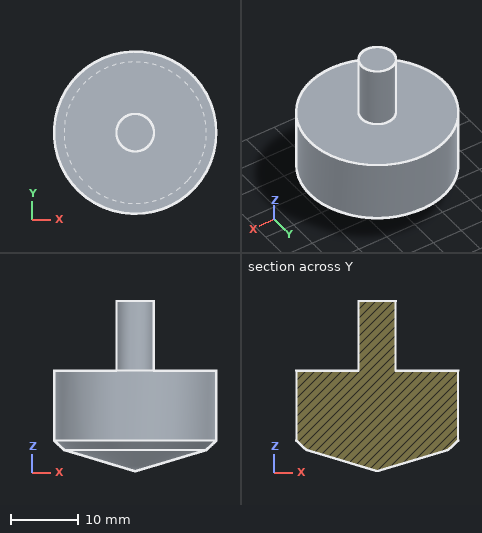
import cadquery as cq

overall_height = 25.4
body_diameter = 24.2
stem_diameter = 5.6
stem_length = 10.4
chamfer_height = 1.42
chamfer_width = 1.52
tip_height = 3.17

body_radius = body_diameter / 2
stem_radius = stem_diameter / 2
tip_radius = body_radius - chamfer_width

chamfer_bottom = tip_height
chamfer_top = chamfer_bottom + chamfer_height
body_top = overall_height - stem_length


def turned_profile():
    """Half section in the XZ plane, from the tip up to the end of the stem."""
    return (
        cq.Workplane("XZ")
        .moveTo(0, 0)
        .lineTo(tip_radius, chamfer_bottom)
        .lineTo(body_radius, chamfer_top)
        .lineTo(body_radius, body_top)
        .lineTo(stem_radius, body_top)
        .lineTo(stem_radius, overall_height)
        .lineTo(0, overall_height)
        .close()
    )


result = turned_profile().revolve(360, (0, 0, 0), (0, 1, 0))